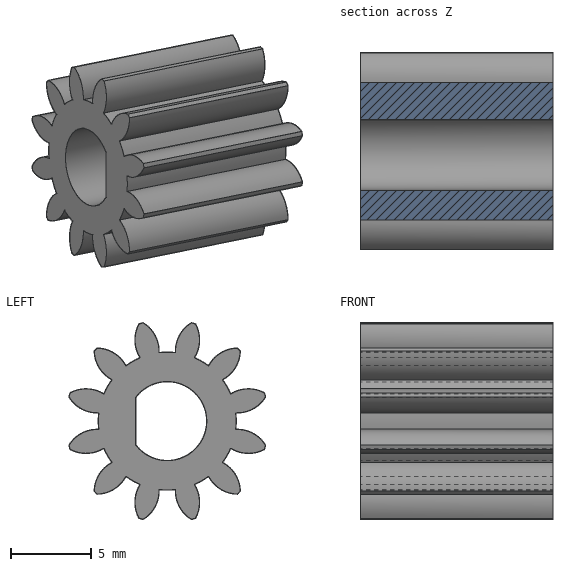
import cadquery as cq
import math

TOOTH_COUNT = 12
FACE_WIDTH = 12.0
ROOT_RADIUS = 4.3

TIP_RADIUS = 6.305
TIP_HALF_WIDTH = 0.135
BASE_HALF_WIDTH = 0.62
BELLY_DISTANCE = 5.35
BELLY_HALF_WIDTH = 0.655

BORE_RADIUS = 2.45
BORE_FLAT_DISTANCE = 1.95

PITCH_ANGLE = 2 * math.pi / TOOTH_COUNT


def tooth_point(along, across, angle):
    """Turn a point given relative to a tooth's centre line into gear coordinates."""
    x = along * math.cos(angle) - across * math.sin(angle)
    y = along * math.sin(angle) + across * math.cos(angle)
    return (x, y)


def on_circle(radius, half_width):
    """Distance along the centre line of a point on a circle, offset by half_width."""
    return math.sqrt(radius**2 - half_width**2)


def make_gear_blank():
    """Toothed cylinder along X, with a tooth gap centred on each of the Y and Z axes."""
    base_along = on_circle(ROOT_RADIUS, BASE_HALF_WIDTH)
    tip_along = on_circle(TIP_RADIUS, TIP_HALF_WIDTH)
    first_angle = PITCH_ANGLE / 2

    outline = cq.Workplane("YZ").moveTo(*tooth_point(base_along, -BASE_HALF_WIDTH, first_angle))
    for index in range(TOOTH_COUNT):
        angle = first_angle + index * PITCH_ANGLE
        next_angle = angle + PITCH_ANGLE
        outline = outline.threePointArc(
            tooth_point(BELLY_DISTANCE, -BELLY_HALF_WIDTH, angle),
            tooth_point(tip_along, -TIP_HALF_WIDTH, angle),
        )
        outline = outline.threePointArc(
            tooth_point(TIP_RADIUS, 0, angle),
            tooth_point(tip_along, TIP_HALF_WIDTH, angle),
        )
        outline = outline.threePointArc(
            tooth_point(BELLY_DISTANCE, BELLY_HALF_WIDTH, angle),
            tooth_point(base_along, BASE_HALF_WIDTH, angle),
        )
        outline = outline.threePointArc(
            tooth_point(ROOT_RADIUS, 0, angle + PITCH_ANGLE / 2),
            tooth_point(base_along, -BASE_HALF_WIDTH, next_angle),
        )
    return outline.close().extrude(FACE_WIDTH)


def make_bore():
    """Through bore with one flat on the +Y side."""
    flat_half_height = on_circle(BORE_RADIUS, BORE_FLAT_DISTANCE)
    return (
        cq.Workplane("YZ")
        .moveTo(BORE_FLAT_DISTANCE, flat_half_height)
        .threePointArc((-BORE_RADIUS, 0), (BORE_FLAT_DISTANCE, -flat_half_height))
        .close()
        .extrude(FACE_WIDTH)
    )


result = make_gear_blank().cut(make_bore())